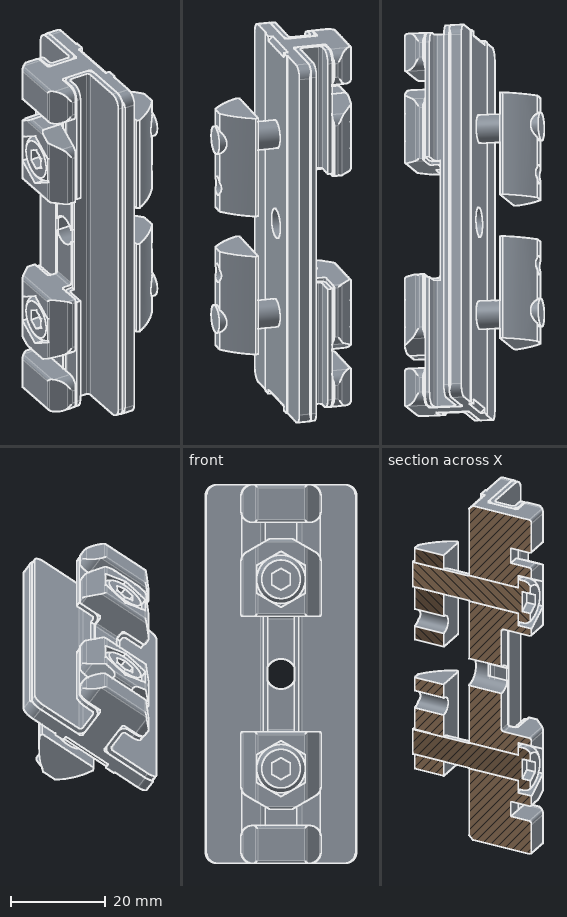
import cadquery as cq
import math


length = 80.0
plate_width = 32.0
plate_depth = 2.7
plate_chamfer = 0.4
corner_radius = 2.5
pad_width = 15.2
pad_height = 0.2
web_half = 2.8
web_fillet = 0.5
hook_face = 9.8
hook_half = 8.5
hook_edge = 0.2
hook_slope_start = 11.4
hook_flank_radius = 1.4
front = 14.8
front_fillet = 0.6
front_half = 5.2

end_block_height = 8.0
clamp_bottom = 12.2
clamp_top = 28.6
clamp_flat_half = 2.4
clamp_slope = math.radians(30)
clamp_corner = 0.5

waist_depth = 7.6
centre_hole_diameter = 6.3
bevel_width = 10.9
bevel_depth = 0.7

liner_half_width = 15.8
liner_corner = 2.4
liner_plate = 1.1
liner_wall = 1.0
liner_lip_half = 8.3
liner_lip_depth = 9.6
liner_inner_fillet = 0.6
liner_waist_depth = 7.4
liner_lip_start = 12.9

bolt_z = 20.0
shank_diameter = 6.0
bolt_end = 13.7
head_diameter = 10.2
head_seat = 11.6
head_top = 14.6
head_flat_diameter = 8.2
dome_radius = 2.0
socket_flats = 4.0
socket_depth = 2.0

nut_front = 6.2
nut_back = 13.2
nut_half = 6.9
nut_side_height = 0.6
nut_front_half = 6.6
nut_back_half = 1.6
nut_bulge = 0.5
nut_bottom = 4.5
nut_top = 26.4
nut_hole_z = 9.8
nut_hole_diameter = 4.0

far = 2 * length
near = 0.1
signs = (1, -1)


def y_prism(sketch, y_from, y_to):
    """Extrude an X-Z outline (drawn at Y = 0) from y_from to y_to."""
    return sketch.extrude(y_from - y_to).translate((0, y_from, 0))


def rounded_plate(half_width, y_from, y_to, radius):
    """Full-length plate with rounded corners in the X-Z plane."""
    outline = cq.Workplane("XZ").rect(2 * half_width, length)
    return y_prism(outline, y_from, y_to).edges("|Y").fillet(radius)


def y_cylinder(diameter, z, y_from, y_to):
    return y_prism(cq.Workplane("XZ").center(0, z).circle(diameter / 2), y_from, y_to)


def y_hexagon(flats, z, y_from, y_to):
    """Hexagonal prism along Y with a corner pointing up."""
    corner_circle = flats / math.cos(math.pi / 6)
    outline = cq.Workplane("XZ").polygon(6, corner_circle)
    prism = y_prism(outline, y_from, y_to)
    return prism.rotate((0, 0, 0), (0, 1, 0), 30).translate((0, 0, z))


def upright(body, side):
    """Keep a body made for +Z, or mirror it to -Z."""
    return body if side > 0 else body.mirror("XY")


def rail_profile():
    """Cross-section of the rail, extruded over the whole length."""
    profile = (
        cq.Workplane("XY", origin=(0, 0, -length / 2))
        .moveTo(0, pad_height)
        .lineTo(pad_width / 2, pad_height)
        .lineTo(pad_width / 2, 0)
        .lineTo(plate_width / 2, 0)
        .lineTo(plate_width / 2, -plate_depth + plate_chamfer)
        .lineTo(plate_width / 2 - plate_chamfer, -plate_depth)
        .lineTo(web_half, -plate_depth)
        .lineTo(web_half, -hook_face)
        .lineTo(hook_half - hook_edge, -hook_face)
        .lineTo(hook_half, -hook_face - hook_edge)
        .lineTo(hook_half, -hook_slope_start)
        .lineTo(front_half, -front)
        .lineTo(0, -front)
        .mirrorY()
        .extrude(length)
    )
    flanks = cq.selectors.BoxSelector(
        (-far, -hook_slope_start - near, -far), (far, -hook_slope_start + near, far))
    web_corners = cq.selectors.BoxSelector(
        (-web_half - near, -hook_face - near, -far), (web_half + near, -plate_depth + near, far))
    return (profile.edges("|Z").edges(flanks).fillet(hook_flank_radius)
            .edges("|Z").edges(web_corners).fillet(web_fillet))


def end_block():
    """Room for the hook block at the end of the rail."""
    outline = cq.Workplane("XZ").rect(2 * hook_half, end_block_height)
    block = y_prism(outline, -hook_face, -front).edges("|Y").fillet(corner_radius)
    return block.translate((0, 0, (length - end_block_height) / 2))


def clamp_block():
    """Room for the hook block around a bolt head, with a sloped top."""
    shoulder = clamp_top - (hook_half - clamp_flat_half) * math.tan(clamp_slope)
    outline = (
        cq.Workplane("XZ")
        .moveTo(-hook_half, clamp_bottom)
        .lineTo(hook_half, clamp_bottom)
        .lineTo(hook_half, shoulder)
        .lineTo(clamp_flat_half, clamp_top)
        .lineTo(-clamp_flat_half, clamp_top)
        .lineTo(-hook_half, shoulder)
        .close()
    )
    block = y_prism(outline, -hook_face, -front)
    block = block.faces("<Z").edges("|Y").fillet(clamp_corner)
    shoulders = cq.selectors.BoxSelector((-far, -far, shoulder - near), (far, far, shoulder + near))
    return block.edges("|Y").edges(shoulders).fillet(corner_radius)


def make_rail():
    envelope = rounded_plate(plate_width / 2, pad_height, -hook_face, corner_radius)
    for side in signs:
        envelope = envelope.union(upright(end_block(), side))
        envelope = envelope.union(upright(clamp_block(), side))
    rail = rail_profile().intersect(envelope)

    rail = rail.faces("<Y").edges("|X or |Z").fillet(front_fillet)

    waist = (
        cq.Workplane("XY")
        .box(2 * hook_half, front, 2 * clamp_bottom)
        .translate((0, -waist_depth - front / 2, 0))
        .edges("|X and >Y")
        .fillet(web_fillet)
    )
    rail = rail.cut(waist)
    rail = rail.cut(y_cylinder(centre_hole_diameter, 0, pad_height, -front))

    bevel_run = bevel_depth + pad_height
    bevel = (
        cq.Workplane("YZ")
        .moveTo(pad_height, length / 2 - bevel_run)
        .lineTo(pad_height, length / 2)
        .lineTo(-bevel_depth, length / 2)
        .close()
        .extrude(bevel_width / 2, both=True)
    )
    for side in signs:
        z = side * bolt_z
        rail = rail.cut(y_cylinder(shank_diameter, z, pad_height, -front))
        rail = rail.cut(y_hexagon(head_diameter, z, -head_seat, -front))
        rail = rail.cut(upright(bevel, side))
    return rail


def make_liner(side):
    """Channel-shaped liner on one side of the web (+1 for +X, -1 for -X)."""
    inner_x = web_half + liner_wall
    inner_back = -plate_depth - liner_plate
    inner_front = -liner_lip_depth + liner_wall
    channel = (
        cq.Workplane("XY", origin=(0, 0, -length / 2))
        .moveTo(liner_half_width, -plate_depth)
        .lineTo(web_half, -plate_depth)
        .lineTo(web_half, -liner_lip_depth)
        .lineTo(liner_lip_half, -liner_lip_depth)
        .lineTo(liner_lip_half, inner_front)
        .lineTo(inner_x, inner_front)
        .lineTo(inner_x, inner_back)
        .lineTo(liner_half_width, inner_back)
        .close()
        .extrude(length)
    )
    inner = cq.selectors.BoxSelector((inner_x - near, -far, -far), (inner_x + near, far, far))
    channel = channel.edges("|Z").edges(inner).fillet(liner_inner_fillet)
    channel = channel.edges("|Z and <X").fillet(liner_inner_fillet + liner_wall)

    middle = (inner_back + inner_front) / 2
    envelope = rounded_plate(liner_half_width, -plate_depth, middle, liner_corner)
    envelope = envelope.union(
        rounded_plate(liner_lip_half, middle, -liner_lip_depth, liner_corner))
    liner = channel.intersect(envelope)

    lip_gap = cq.Workplane("XY").box(far, far, 2 * liner_lip_start)
    liner = liner.cut(lip_gap.translate((0, -liner_waist_depth - far / 2, 0)))
    for end in signs:
        liner = liner.cut(y_cylinder(shank_diameter, end * bolt_z, 0, -front))
    return liner if side > 0 else liner.mirror("YZ")


def make_bolt(z):
    """Bolt with a domed round head and a hex socket."""
    head_radius = head_diameter / 2
    arc_centre = head_radius - dome_radius
    arc_angle = math.acos((head_flat_diameter / 2 - arc_centre) / dome_radius)
    shoulder_y = -head_top + dome_radius * math.sin(arc_angle)
    middle_x = arc_centre + dome_radius * math.cos(arc_angle / 2)
    middle_y = shoulder_y - dome_radius * math.sin(arc_angle / 2)
    head = (
        cq.Workplane("XY", origin=(0, 0, z))
        .moveTo(0, -head_seat)
        .lineTo(head_radius, -head_seat)
        .lineTo(head_radius, shoulder_y)
        .threePointArc((middle_x, middle_y), (head_flat_diameter / 2, -head_top))
        .lineTo(0, -head_top)
        .close()
        .revolve(360, (0, 0, 0), (0, 1, 0))
    )
    bolt = head.union(y_cylinder(shank_diameter, z, bolt_end, -head_seat))
    return bolt.cut(y_hexagon(socket_flats, z, -head_top + socket_depth, -head_top))


def make_nut(side):
    """Dome-backed sliding nut; it reaches further towards the middle of the rail."""
    shoulder_y = nut_front + nut_side_height
    run = nut_half - nut_back_half
    rise = nut_back - shoulder_y
    chord = math.hypot(run, rise)
    arc_x = (nut_half + nut_back_half) / 2 + nut_bulge * rise / chord
    arc_y = (shoulder_y + nut_back) / 2 + nut_bulge * run / chord
    nut = (
        cq.Workplane("XY", origin=(0, 0, nut_bottom))
        .moveTo(0, nut_front)
        .lineTo(nut_front_half, nut_front)
        .lineTo(nut_half, shoulder_y)
        .threePointArc((arc_x, arc_y), (nut_back_half, nut_back))
        .lineTo(0, nut_back)
        .mirrorY()
        .extrude(nut_top - nut_bottom)
    )
    nut = nut.cut(y_cylinder(shank_diameter, bolt_z, nut_back, nut_front))
    nut = nut.cut(y_cylinder(nut_hole_diameter, nut_hole_z, nut_back, nut_front))
    return upright(nut, side)


rail = make_rail()
liners = [make_liner(side) for side in signs]
bolts = [make_bolt(side * bolt_z) for side in signs]
nuts = [make_nut(side) for side in signs]

result = cq.Compound.makeCompound([body.val() for body in [rail, *liners, *bolts, *nuts]])